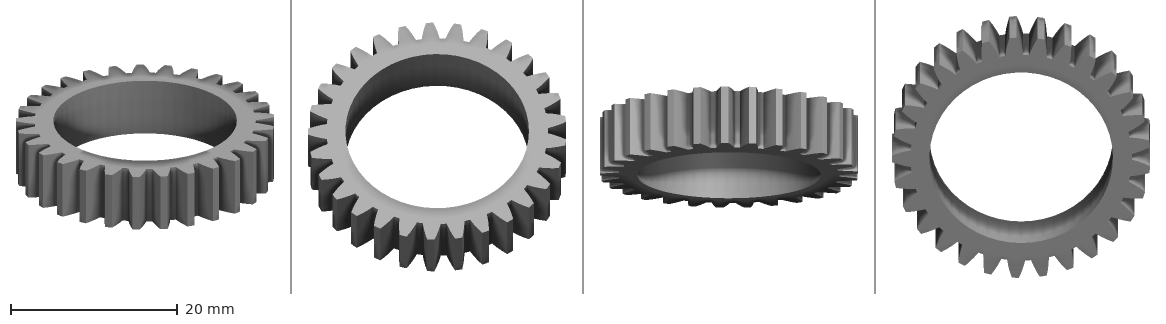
import cadquery as cq
import math

tooth_count = 29
overall_width = 31.0
face_width = 7.0
bore_diameter = 22.0
root_radius = 13.25
tip_half_thickness = 0.43
root_half_thickness = 1.1

tooth_pitch_angle = 2 * math.pi / tooth_count
first_tooth_angle = math.pi / 2

tooth_offset_angle = first_tooth_angle % tooth_pitch_angle
corner_angle = tooth_offset_angle - math.asin(tip_half_thickness / (overall_width / 2))
tip_radius = overall_width / 2 / math.cos(corner_angle)

module = 2 * tip_radius / (tooth_count + 2)
pitch_radius = tip_radius - module
pitch_half_thickness = math.pi * module / 4


def point_on_circle(radius, angle):
    return (radius * math.cos(angle), radius * math.sin(angle))


def flank_point(radius, half_thickness, tooth_angle, side):
    """Point on a tooth flank; side is -1 for the clockwise flank and +1 for the other."""
    return point_on_circle(radius, tooth_angle + side * math.asin(half_thickness / radius))


def add_tooth(outline, tooth_angle):
    """Draw one tooth counter-clockwise, then the root arc up to the next tooth."""
    next_tooth_angle = tooth_angle + tooth_pitch_angle
    gap_angle = tooth_angle + tooth_pitch_angle / 2

    outline = outline.threePointArc(
        flank_point(pitch_radius, pitch_half_thickness, tooth_angle, -1),
        flank_point(tip_radius, tip_half_thickness, tooth_angle, -1),
    )
    outline = outline.threePointArc(
        point_on_circle(tip_radius, tooth_angle),
        flank_point(tip_radius, tip_half_thickness, tooth_angle, 1),
    )
    outline = outline.threePointArc(
        flank_point(pitch_radius, pitch_half_thickness, tooth_angle, 1),
        flank_point(root_radius, root_half_thickness, tooth_angle, 1),
    )
    return outline.threePointArc(
        point_on_circle(root_radius, gap_angle),
        flank_point(root_radius, root_half_thickness, next_tooth_angle, -1),
    )


def gear_blank():
    """Toothed disc standing on the XY plane."""
    start = flank_point(root_radius, root_half_thickness, first_tooth_angle, -1)
    outline = cq.Workplane("XY").moveTo(*start)
    for index in range(tooth_count):
        outline = add_tooth(outline, first_tooth_angle + index * tooth_pitch_angle)
    return outline.close().extrude(face_width)


def bore():
    return cq.Workplane("XY").circle(bore_diameter / 2).extrude(face_width)


result = gear_blank().cut(bore())